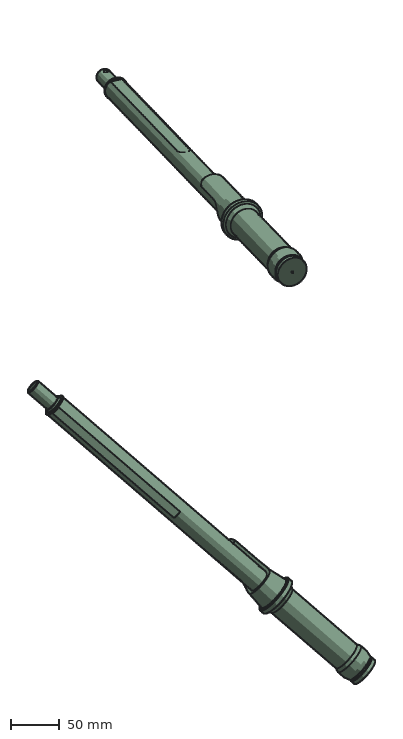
import cadquery as cq

total_length = 467.5

tip_radius = 8.2
tip_chamfer = 1.0
neck_start = 27.5
neck_radius = 10.0
shaft_start = 30.5
shaft_radius = 12.0
flange_end = 32.0
flange_radius = 12.5
shaft_end = 441.0
flat_start = 32.5
flat_end = 199.0
flat_height = 10.5
runout_end = 206.5
bottom_flat_end = 203.5
bottom_flat_height = 11.0

detent_x = 6.5
detent_radius = 3.0
detent_rise = 1.0

tongue_start = 268.0
tongue_lower_z = 8.0
tongue_corner = 4.0
grip_radius = 16.5
handle_start = 319.0
sweep_radius = 15.0
guard_cone_radius = 19.0
guard_start = 338.5
guard_end = 345.5
guard_radius = 22.2
guard_chamfer = 1.0
guard_back_radius = 19.5
grip_start = 350.0
flare_start = 441.0
band_start = 445.0
band_end = 454.0
band_radius = 18.0
band_back_end = 459.5
band_back_radius = 16.5
groove_radius = 15.0
cap_start = 462.0
nub_radius = 1.0
nub_length = 1.0
cap_end = total_length - nub_length


def x_cylinder(start, end, radius):
    """Solid cylinder about the X axis."""
    return cq.Workplane("YZ", origin=(start, 0, 0)).circle(radius).extrude(end - start)


def make_shaft():
    """Stepped round bar with a detent ball and a flat on top and bottom."""
    tip = x_cylinder(0, neck_start, tip_radius).faces("<X").chamfer(tip_chamfer)
    neck = x_cylinder(neck_start, shaft_start, neck_radius)
    flange = x_cylinder(shaft_start, flange_end, flange_radius)
    bar = x_cylinder(shaft_start, shaft_end, shaft_radius)
    ball_z = tip_radius + detent_rise - detent_radius
    ball = cq.Workplane("XY", origin=(detent_x, 0, ball_z)).sphere(detent_radius)
    top_flat = (
        cq.Workplane("XZ")
        .moveTo(flat_start, flat_height)
        .lineTo(flat_end, flat_height)
        .lineTo(runout_end, shaft_radius)
        .lineTo(flat_start, shaft_radius)
        .close()
        .extrude(shaft_radius, both=True)
    )
    bottom_flat = (
        cq.Workplane("XZ")
        .moveTo(flat_start, -bottom_flat_height)
        .lineTo(bottom_flat_end, -bottom_flat_height)
        .lineTo(bottom_flat_end, -shaft_radius)
        .lineTo(flat_start, -shaft_radius)
        .close()
        .extrude(shaft_radius, both=True)
    )
    return tip.union(neck).union(flange).union(bar).union(ball).cut(top_flat).cut(bottom_flat)


def make_handle():
    """Turned grip with a guard, an end cap and a tongue over the shaft."""
    turned = (
        cq.Workplane("XZ")
        .moveTo(tongue_start, 0)
        .lineTo(tongue_start, grip_radius)
        .lineTo(handle_start, grip_radius)
        .lineTo(guard_start, guard_cone_radius)
        .lineTo(guard_start, guard_radius - guard_chamfer)
        .lineTo(guard_start + guard_chamfer, guard_radius)
        .lineTo(guard_end - guard_chamfer, guard_radius)
        .lineTo(guard_end, guard_back_radius)
        .lineTo(grip_start, grip_radius)
        .lineTo(flare_start, grip_radius)
        .lineTo(band_start, band_radius)
        .lineTo(band_end, band_radius)
        .lineTo(band_back_end, band_back_radius)
        .lineTo(band_back_end, groove_radius)
        .lineTo(cap_start, groove_radius)
        .lineTo(cap_start, grip_radius)
        .lineTo(cap_end, grip_radius)
        .lineTo(cap_end, 0)
        .close()
        .revolve(360, (0, 0, 0), (1, 0, 0))
    )
    nub = x_cylinder(cap_end, total_length, nub_radius)
    sweep_start = handle_start - sweep_radius
    sweep_diagonal = sweep_radius * 0.5 ** 0.5
    below_tongue = (
        cq.Workplane("XZ")
        .moveTo(tongue_start, -grip_radius)
        .lineTo(tongue_start, tongue_lower_z + tongue_corner)
        .lineTo(tongue_start + tongue_corner, tongue_lower_z)
        .lineTo(sweep_start, tongue_lower_z)
        .threePointArc(
            (sweep_start + sweep_diagonal, tongue_lower_z - sweep_radius + sweep_diagonal),
            (handle_start, tongue_lower_z - sweep_radius),
        )
        .lineTo(handle_start, -grip_radius)
        .close()
        .extrude(grip_radius, both=True)
    )
    shaft_bore = x_cylinder(tongue_start, shaft_end, shaft_radius)
    return turned.union(nub).cut(below_tongue).cut(shaft_bore)


shaft = make_shaft()
handle = make_handle()
result = cq.Compound.makeCompound([shaft.val(), handle.val()])